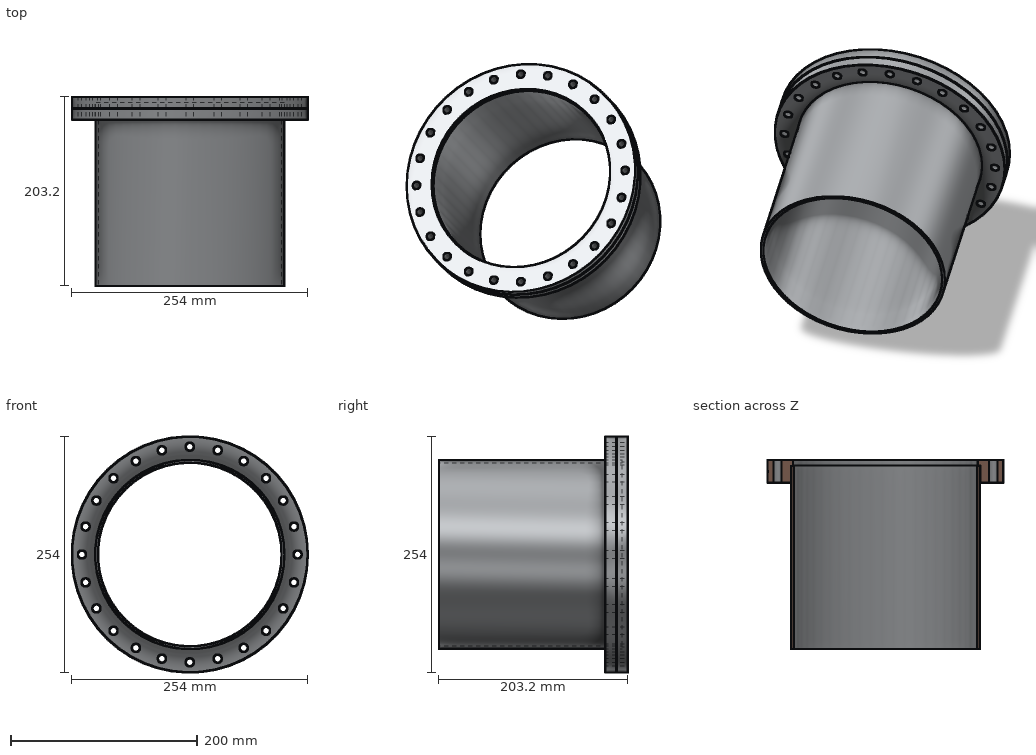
import cadquery as cq

overall_length = 203.2
front_y = -overall_length / 2
back_y = overall_length / 2

tube_outer_diameter = 203.2
tube_bore_diameter = 197.0

flange_diameter = 254.0
flange_thickness = 24.6
flange_front_y = back_y - flange_thickness
front_chamfer = 0.5

socket_diameter = 203.7
lip_bore_diameter = 198.5
lip_thickness = flange_thickness / 4
lip_y = back_y - lip_thickness

groove_width = 1.0
groove_depth = 0.5
groove_y = back_y - flange_thickness / 2

bolt_count = 24
bolt_hole_diameter = 8.4
bolt_circle_diameter = 231.8
bolt_hole_chamfer = 0.3


def cylinder(diameter, start_y, end_y):
    """Solid cylinder on the Y axis between two Y positions."""
    base = cq.Workplane("XZ", origin=(0, start_y, 0))
    return base.circle(diameter / 2).extrude(start_y - end_y)


def make_tube():
    """Plain tube that ends against the lip of the flange."""
    outside = cylinder(tube_outer_diameter, front_y, lip_y)
    return outside.cut(cylinder(tube_bore_diameter, front_y, lip_y))


def make_flange_ring():
    """Ring revolved from its half section, with the tube socket, front chamfer and rim groove."""
    socket_radius = socket_diameter / 2
    lip_radius = lip_bore_diameter / 2
    rim_radius = flange_diameter / 2
    section = (
        cq.Workplane("XY")
        .moveTo(socket_radius, flange_front_y)
        .lineTo(rim_radius - front_chamfer, flange_front_y)
        .lineTo(rim_radius, flange_front_y + front_chamfer)
        .lineTo(rim_radius, groove_y - groove_width / 2)
        .lineTo(rim_radius - groove_depth, groove_y)
        .lineTo(rim_radius, groove_y + groove_width / 2)
        .lineTo(rim_radius, back_y)
        .lineTo(lip_radius, back_y)
        .lineTo(lip_radius, lip_y)
        .lineTo(socket_radius, lip_y)
        .close()
    )
    return section.revolve(360, (0, 0, 0), (0, 1, 0))


def make_bolt_hole_cutter():
    """One through hole on the +Z side, with a chamfer at the front face."""
    hole_radius = bolt_hole_diameter / 2
    mouth_radius = hole_radius + bolt_hole_chamfer
    section = (
        cq.Workplane("XY")
        .moveTo(0, flange_front_y)
        .lineTo(mouth_radius, flange_front_y)
        .lineTo(hole_radius, flange_front_y + bolt_hole_chamfer)
        .lineTo(hole_radius, back_y)
        .lineTo(0, back_y)
        .close()
    )
    cutter = section.revolve(360, (0, 0, 0), (0, 1, 0))
    return cutter.translate((0, 0, bolt_circle_diameter / 2))


tube = make_tube()

flange = make_flange_ring()
bolt_hole_cutter = make_bolt_hole_cutter()
for index in range(bolt_count):
    angle = index * 360 / bolt_count
    flange = flange.cut(bolt_hole_cutter.rotate((0, 0, 0), (0, 1, 0), angle))

result = cq.Compound.makeCompound([tube.val(), flange.val()])